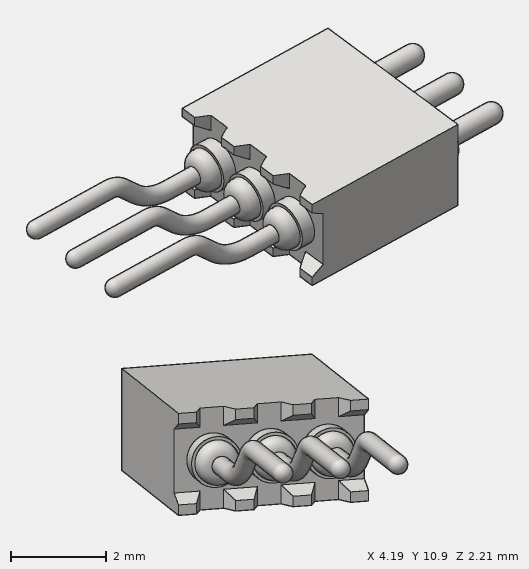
import cadquery as cq
import math


HOUSING_WIDTH = 4.19
HOUSING_HEIGHT = 2.21
HOUSING_BACK_Y = 3.74
LIP_DEPTH = 0.31
LIP_TIP_HEIGHT = 0.23
LIP_ROOT_HEIGHT = 0.41
GAP_ROOT_WIDTH = 0.52
GAP_MOUTH_WIDTH = 0.86

PIN_COUNT = 3
PIN_PITCH = 1.27
BARREL_RADIUS = 0.96 / 2
BARREL_OVERHANG = 0.33
COLLAR_RADIUS = 1.1 / 2
COLLAR_LENGTH = 0.34
NOSE_LENGTH = 0.35
NOSE_ROUNDING = 0.26
PLUNGER_RADIUS = 0.5 / 2
PIN_LENGTH = 10.91
PIN_BACK_Y = 5.63

TAIL_RADIUS = 0.41 / 2
TAIL_BEND_Y = -1.42
LOWER_BEND_RADIUS = 1.27
UPPER_BEND_RADIUS = 0.55
BEND_ANGLE = math.radians(45)
TAIL_RISE = HOUSING_HEIGHT / 2 - TAIL_RADIUS

BARREL_BACK_Y = HOUSING_BACK_Y + BARREL_OVERHANG
NOSE_FRONT_Y = -COLLAR_LENGTH - NOSE_LENGTH
TAIL_TIP_Y = PIN_BACK_Y - PIN_LENGTH
PIN_POSITIONS = [(i - (PIN_COUNT - 1) / 2) * PIN_PITCH for i in range(PIN_COUNT)]


def make_housing():
    block = cq.Workplane("XY").box(
        HOUSING_WIDTH, HOUSING_BACK_Y + LIP_DEPTH, HOUSING_HEIGHT, centered=(True, False, True)
    ).translate((0, -LIP_DEPTH, 0))

    root_z = HOUSING_HEIGHT / 2 - LIP_ROOT_HEIGHT
    mouth_z = HOUSING_HEIGHT / 2 - LIP_TIP_HEIGHT
    channel = (
        cq.Workplane("YZ")
        .polyline([(0, -root_z), (0, root_z), (-LIP_DEPTH, mouth_z), (-LIP_DEPTH, -mouth_z)])
        .close()
        .extrude(HOUSING_WIDTH / 2, both=True)
    )
    housing = block.cut(channel)

    for x in PIN_POSITIONS:
        housing = housing.cut(make_lip_gap(x)).cut(make_pin_hole(x))
    return housing


def make_lip_gap(x):
    """Flared gap that divides the lips above and below one pin."""
    root_x = GAP_ROOT_WIDTH / 2
    mouth_x = GAP_MOUTH_WIDTH / 2
    return (
        cq.Workplane("XY")
        .polyline([(-root_x, 0), (root_x, 0), (mouth_x, -LIP_DEPTH), (-mouth_x, -LIP_DEPTH)])
        .close()
        .extrude(HOUSING_HEIGHT / 2, both=True)
        .translate((x, 0, 0))
    )


def make_pin_hole(x):
    """Through hole that fits the barrel of one pin."""
    return (
        cq.Workplane("XZ", origin=(x, HOUSING_BACK_Y, 0))
        .circle(BARREL_RADIUS)
        .extrude(HOUSING_BACK_Y)
    )


def make_pin_body():
    """Turned part of a pin: rounded nose, collar, barrel and round-ended plunger."""
    arc_offset = NOSE_ROUNDING * math.sqrt(0.5)
    nose_center = (BARREL_RADIUS - NOSE_ROUNDING, NOSE_FRONT_Y + NOSE_ROUNDING)
    nose_mid = (nose_center[0] + arc_offset, nose_center[1] - arc_offset)
    plunger_center_y = PIN_BACK_Y - PLUNGER_RADIUS
    end_offset = PLUNGER_RADIUS * math.sqrt(0.5)
    return (
        cq.Workplane("XY")
        .moveTo(0, NOSE_FRONT_Y)
        .lineTo(nose_center[0], NOSE_FRONT_Y)
        .threePointArc(nose_mid, (BARREL_RADIUS, nose_center[1]))
        .lineTo(BARREL_RADIUS, -COLLAR_LENGTH)
        .lineTo(COLLAR_RADIUS, -COLLAR_LENGTH)
        .lineTo(COLLAR_RADIUS, 0)
        .lineTo(BARREL_RADIUS, 0)
        .lineTo(BARREL_RADIUS, BARREL_BACK_Y)
        .lineTo(PLUNGER_RADIUS, BARREL_BACK_Y)
        .lineTo(PLUNGER_RADIUS, plunger_center_y)
        .threePointArc((end_offset, plunger_center_y + end_offset), (0, PIN_BACK_Y))
        .close()
        .revolve(360, (0, 0, 0), (0, 1, 0))
    )


def bend_step(radius, angle):
    """Forward and upward travel of an arc that starts level and turns by an angle."""
    return radius * math.sin(angle), radius * (1 - math.cos(angle))


def make_tail():
    """Round wire with two opposite bends and a round end."""
    lower_mid = bend_step(LOWER_BEND_RADIUS, BEND_ANGLE / 2)
    lower_end = bend_step(LOWER_BEND_RADIUS, BEND_ANGLE)
    upper_mid = bend_step(UPPER_BEND_RADIUS, BEND_ANGLE / 2)
    upper_end = bend_step(UPPER_BEND_RADIUS, BEND_ANGLE)

    slope_rise = TAIL_RISE - lower_end[1] - upper_end[1]
    slope_run = slope_rise / math.tan(BEND_ANGLE)
    slope_end_y = TAIL_BEND_Y - lower_end[0] - slope_run
    level_y = slope_end_y - upper_end[0]
    round_end_y = TAIL_TIP_Y + TAIL_RADIUS

    path = (
        cq.Workplane("YZ")
        .moveTo(NOSE_FRONT_Y, 0)
        .lineTo(TAIL_BEND_Y, 0)
        .threePointArc(
            (TAIL_BEND_Y - lower_mid[0], lower_mid[1]),
            (TAIL_BEND_Y - lower_end[0], lower_end[1]),
        )
        .lineTo(slope_end_y, TAIL_RISE - upper_end[1])
        .threePointArc((level_y + upper_mid[0], TAIL_RISE - upper_mid[1]), (level_y, TAIL_RISE))
        .lineTo(round_end_y, TAIL_RISE)
    )
    wire = cq.Workplane("XZ", origin=(0, NOSE_FRONT_Y, 0)).circle(TAIL_RADIUS).sweep(path)

    end_offset = TAIL_RADIUS * math.sqrt(0.5)
    round_end = (
        cq.Workplane("XY", origin=(0, round_end_y, TAIL_RISE))
        .lineTo(TAIL_RADIUS, 0)
        .threePointArc((end_offset, -end_offset), (0, -TAIL_RADIUS))
        .close()
        .revolve(360, (0, 0, 0), (0, 1, 0))
    )
    return wire.union(round_end)


def make_pin(x):
    return make_pin_body().union(make_tail()).translate((x, 0, 0))


housing = make_housing()
pins = [make_pin(x) for x in PIN_POSITIONS]

result = cq.Compound.makeCompound([housing.solids().val(), *[pin.solids().val() for pin in pins]])